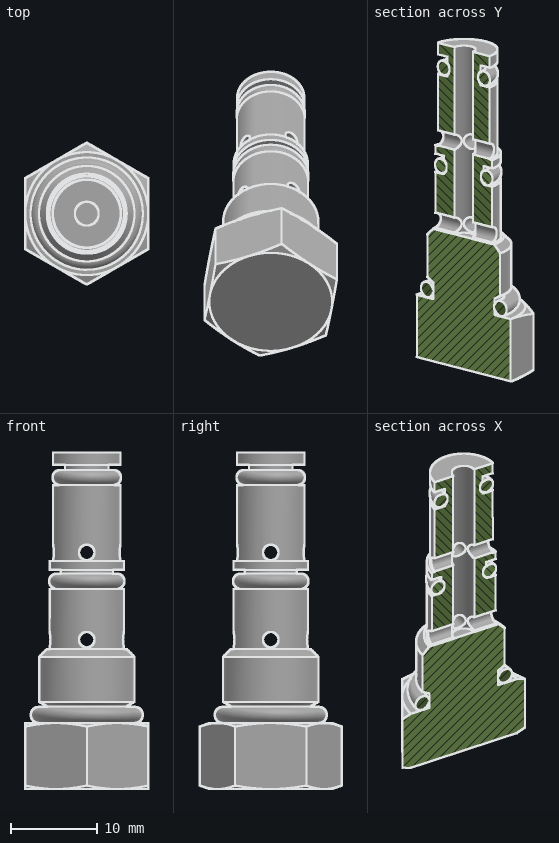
import cadquery as cq
import math

total_height = 39.12
hex_height = 7.66
seal_shoulder_z = 10.13
plug_top_z = 16.26
cage_step_z = 26.5

hex_across_flats = 14.29
hex_corner_drop = 0.4
plug_diameter = 11.1
plug_neck_diameter = 9.3
undercut_angle = 30

cage_diameter = 8.66
nose_diameter = 7.87
bore_diameter = 2.77
port_diameter = 1.78
lower_port_z = 17.35
upper_port_z = 27.48
ports_per_row = 4

lower_groove_diameter = 6.1
lower_groove_bottom = 23.25
lower_groove_top = 25.45
upper_groove_diameter = 5.08
upper_groove_bottom = 35.3
upper_groove_top = 37.66

cage_cord = 1.78
plug_cord = 1.9
upper_ring_diameter = 6.2
lower_ring_diameter = 7.02
plug_ring_diameter = 11.15


def cylinder(diameter, bottom, top):
    return cq.Workplane("XY").workplane(offset=bottom).circle(diameter / 2).extrude(top - bottom)


def make_o_ring(ring_diameter, cord_diameter, bottom):
    """O-ring around Z whose lowest point is at the height `bottom`."""
    return (
        cq.Workplane("XZ")
        .center(ring_diameter / 2, bottom + cord_diameter / 2)
        .circle(cord_diameter / 2)
        .revolve(360, (-ring_diameter / 2, 0), (-ring_diameter / 2, 1))
    )


def make_hex():
    """Hexagon with two corners on the Y axis and its corners chamfered at both ends."""
    flat_radius = hex_across_flats / 2
    corner_radius = flat_radius / math.cos(math.pi / 6)
    prism = (
        cq.Workplane("XY")
        .polygon(6, 2 * corner_radius)
        .extrude(hex_height)
        .rotate((0, 0, 0), (0, 0, 1), 30)
    )
    chamfer_envelope = (
        cq.Workplane("XZ")
        .moveTo(0, 0)
        .lineTo(flat_radius, 0)
        .lineTo(corner_radius, hex_corner_drop)
        .lineTo(corner_radius, hex_height - hex_corner_drop)
        .lineTo(flat_radius, hex_height)
        .lineTo(0, hex_height)
        .close()
        .revolve(360, (0, 0), (0, 1))
    )
    return prism.intersect(chamfer_envelope)


def make_plug(ring):
    """Hex plug with a neck under its cylinder, recessed to seat the O-ring."""
    neck_radius = plug_neck_diameter / 2
    plug_radius = plug_diameter / 2
    step = plug_radius - neck_radius
    undercut_height = step * math.tan(math.radians(undercut_angle))
    barrel = (
        cq.Workplane("XZ")
        .moveTo(0, hex_height)
        .lineTo(neck_radius, hex_height)
        .lineTo(neck_radius, seal_shoulder_z - undercut_height)
        .lineTo(plug_radius, seal_shoulder_z)
        .lineTo(plug_radius, plug_top_z - step)
        .lineTo(neck_radius, plug_top_z)
        .lineTo(0, plug_top_z)
        .close()
        .revolve(360, (0, 0), (0, 1))
    )
    return make_hex().union(barrel).cut(ring)


def make_ports(height):
    """Row of radial port holes, evenly spaced around the cage axis."""
    ports = cq.Workplane("XY")
    for i in range(ports_per_row):
        port = (
            cq.Workplane("YZ")
            .center(0, height)
            .circle(port_diameter / 2)
            .extrude(cage_diameter)
            .rotate((0, 0, 0), (0, 0, 1), i * 360 / ports_per_row)
        )
        ports = ports.union(port)
    return ports


def make_cage(rings):
    """Stepped cage with an axial bore, two rows of ports and recessed O-ring grooves."""
    cage = cylinder(cage_diameter, plug_top_z, lower_groove_bottom)
    cage = cage.union(cylinder(lower_groove_diameter, lower_groove_bottom, lower_groove_top))
    cage = cage.union(cylinder(cage_diameter, lower_groove_top, cage_step_z))
    cage = cage.union(cylinder(nose_diameter, cage_step_z, upper_groove_bottom))
    cage = cage.union(cylinder(upper_groove_diameter, upper_groove_bottom, upper_groove_top))
    cage = cage.union(cylinder(nose_diameter, upper_groove_top, total_height))
    cage = cage.cut(cylinder(bore_diameter, plug_top_z, total_height))
    for height in (lower_port_z, upper_port_z):
        cage = cage.cut(make_ports(height))
    for ring in rings:
        cage = cage.cut(ring)
    return cage


plug_ring = make_o_ring(plug_ring_diameter, plug_cord, hex_height)
lower_ring = make_o_ring(lower_ring_diameter, cage_cord, lower_groove_bottom)
upper_ring = make_o_ring(upper_ring_diameter, cage_cord, upper_groove_bottom)

plug = make_plug(plug_ring)
cage = make_cage([lower_ring, upper_ring])

result = cq.Compound.makeCompound(
    [
        plug.solids().val(),
        cage.solids().val(),
        plug_ring.val(),
        lower_ring.val(),
        upper_ring.val(),
    ]
)